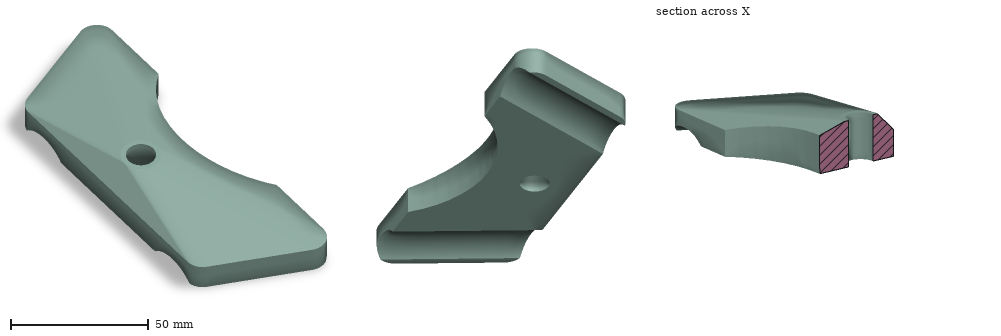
import cadquery as cq
import math

overall_length = 142.53
overall_depth = 50.0
corner_radius = 7.0
front_flat_length = 96.6
front_edge_y = -15.0
back_edge_y = front_edge_y + overall_depth

plate_height = 10.3
overall_height = 18.05

hub_radius = 7.5
hole_diameter = 11.0

scallop_chord = 72.0
scallop_depth = 16.3

groove_center_front_x = 39.1
groove_radius = 12.5
groove_depth = 4.5

back_center = (overall_length / 2 - corner_radius, back_edge_y - corner_radius)
front_center = (front_flat_length / 2, front_edge_y + corner_radius)
end_run_x = back_center[0] - front_center[0]
end_run_y = back_center[1] - front_center[1]
end_lean = math.degrees(math.atan2(end_run_x, end_run_y))

corners = [
    (back_center, -end_lean, 90),
    ((-back_center[0], back_center[1]), 90, 180 + end_lean),
    ((-front_center[0], front_center[1]), 180 + end_lean, 270),
    (front_center, 270, 360 - end_lean),
]


def point_on_circle(center, radius, angle, z):
    """Point at an angle in degrees on a horizontal circle."""
    turn = math.radians(angle)
    return cq.Vector(center[0] + radius * math.cos(turn), center[1] + radius * math.sin(turn), z)


def arc_edge(center, radius, start, end, z):
    """Horizontal arc between two angles in degrees."""
    angles = (start, (start + end) / 2, end)
    return cq.Edge.makeThreePointArc(*[point_on_circle(center, radius, angle, z) for angle in angles])


def polygon_face(*points):
    return cq.Face.makeFromWires(cq.Wire.makePolygon(points, close=True))


def make_plate():
    """Flat plate; straight edges join each corner arc to the next."""
    edges = []
    for index, (center, start, end) in enumerate(corners):
        next_center = corners[(index + 1) % len(corners)][0]
        edges.append(arc_edge(center, corner_radius, start, end, 0))
        edges.append(cq.Edge.makeLine(
            point_on_circle(center, corner_radius, end, 0),
            point_on_circle(next_center, corner_radius, end, 0),
        ))
    outline = cq.Wire.assembleEdges(edges)
    return cq.Workplane(obj=cq.Solid.extrudeLinear(outline, [], cq.Vector(0, 0, plate_height)))


def make_cap():
    """Flat triangles and oblique cones rising from the plate rim to the round hub."""
    hub_center = (0, 0)
    faces = []
    rim_edges = []
    hub_edges = []
    for index, (center, start, end) in enumerate(corners):
        next_center = corners[(index + 1) % len(corners)][0]
        rim_arc = arc_edge(center, corner_radius, start, end, plate_height)
        hub_arc = arc_edge(hub_center, hub_radius, start, end, overall_height)
        side_start = point_on_circle(center, corner_radius, end, plate_height)
        side_end = point_on_circle(next_center, corner_radius, end, plate_height)
        hub_point = point_on_circle(hub_center, hub_radius, end, overall_height)

        rim_edges += [rim_arc, cq.Edge.makeLine(side_start, side_end)]
        hub_edges.append(hub_arc)
        faces.append(cq.Face.makeRuledSurface(rim_arc, hub_arc))
        faces.append(polygon_face(side_start, side_end, hub_point))
    faces.append(cq.Face.makeFromWires(cq.Wire.assembleEdges(rim_edges)))
    faces.append(cq.Face.makeFromWires(cq.Wire.assembleEdges(hub_edges)))
    return cq.Workplane(obj=cq.Solid.makeSolid(cq.Shell.makeShell(faces)).fix())


def make_hole():
    return cq.Workplane().circle(hole_diameter / 2).extrude(overall_height)


def make_scallop():
    radius = (scallop_chord**2 / 4 + scallop_depth**2) / (2 * scallop_depth)
    center_y = back_edge_y - scallop_depth + radius
    return cq.Workplane().center(0, center_y).circle(radius).extrude(overall_height)


def make_groove(side):
    """Cylinder running along one end; side is 1 for +X and -1 for -X."""
    axis_z = groove_depth - groove_radius
    direction = cq.Vector(side * end_run_x, end_run_y, 0).normalized()
    front_point = cq.Vector(side * groove_center_front_x, front_edge_y, axis_z)
    start = front_point - direction * overall_depth
    cutter_length = 3 * overall_depth
    return cq.Workplane(obj=cq.Solid.makeCylinder(groove_radius, cutter_length, start, direction))


result = make_plate().union(make_cap()).cut(make_hole()).cut(make_scallop())
for side in (-1, 1):
    result = result.cut(make_groove(side))